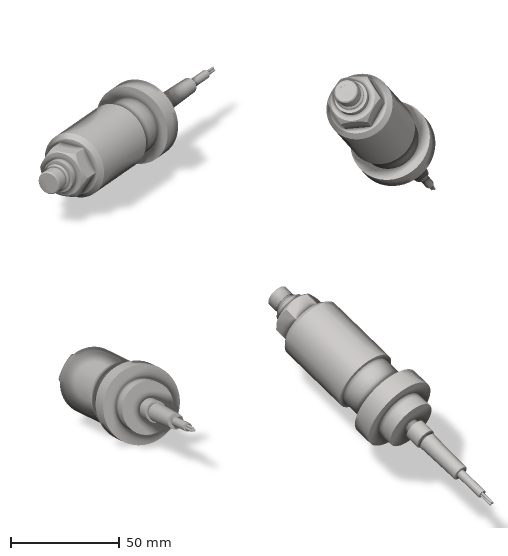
import cadquery as cq
import math

INCH = 25.4
TOTAL_LENGTH = 150.19

TIP_DIAMETER = 11.1
TIP_LENGTH = 5.9
TIP_CHAMFER = 0.5
DIAPHRAGM_DIAMETER = 6.2
DIAPHRAGM_RECESS = 0.1
GROOVE_DIAMETER = 10.5
GROOVE_LENGTH = 2.85
SEAL_SECTION_DIAMETER = 1.78
SEAL_OUTER_DIAMETER = 12.8
COLLAR_DIAMETER = 15.5
COLLAR_LENGTH = 3.2

HEX_SIDES = 6
HEX_ACROSS_FLATS = 22.0
HEX_LENGTH = 9.5
HEX_CHAMFER = 2.1

BODY_DIAMETER = 1.25 * INCH
BODY_LENGTH = 40.5
BODY_CHAMFER = 2.2
NECK_DIAMETER = 27.4
NECK_LENGTH = 14.3
FLANGE_DIAMETER = 1.5 * INCH
FLANGE_LENGTH = 0.375 * INCH
REAR_CAP_DIAMETER = 25.4
REAR_CAP_LENGTH = 8.0

STEM_DIAMETER = 7.0
STEM_LENGTH = 2.8
GLAND_DIAMETER = 10.3
GLAND_LENGTH = 7.3
BOOT_NECK_FRONT_DIAMETER = 5.0
BOOT_NECK_REAR_DIAMETER = 6.0
BOOT_NECK_LENGTH = 1.3
BOOT_FRONT_DIAMETER = 8.8
BOOT_REAR_DIAMETER = 7.7
BOOT_LENGTH = 23.2

JACKET_DIAMETER = 4.2
JACKET_LENGTH = 15.1
WIRE_DIAMETER = 1.17
WIRE_COUNT = 3
WIRE_CIRCLE_RADIUS = 0.68
FIRST_WIRE_ANGLE = -90

groove_end = TIP_LENGTH + GROOVE_LENGTH
collar_end = groove_end + COLLAR_LENGTH
hex_end = collar_end + HEX_LENGTH
body_end = hex_end + BODY_LENGTH
neck_end = body_end + NECK_LENGTH
flange_end = neck_end + FLANGE_LENGTH
rear_cap_end = flange_end + REAR_CAP_LENGTH
stem_end = rear_cap_end + STEM_LENGTH
gland_end = stem_end + GLAND_LENGTH
boot_neck_end = gland_end + BOOT_NECK_LENGTH
boot_end = boot_neck_end + BOOT_LENGTH
jacket_end = boot_end + JACKET_LENGTH


def plane_at(y):
    """Plane across the axis at the given Y, with its normal along +Y."""
    return cq.Workplane(cq.Plane(origin=(0, y, 0), xDir=(1, 0, 0), normal=(0, 1, 0)))


def cylinder(diameter, start, end):
    return plane_at(start).circle(diameter / 2).extrude(end - start)


def cone(start_diameter, end_diameter, start, end):
    profile = [(0, start), (start_diameter / 2, start), (end_diameter / 2, end), (0, end)]
    return cq.Workplane("XY").polyline(profile).close().revolve(360, (0, 0), (0, 1))


def make_tip():
    tip = cylinder(TIP_DIAMETER, 0, TIP_LENGTH).faces("<Y").chamfer(TIP_CHAMFER)
    return tip.cut(cylinder(DIAPHRAGM_DIAMETER, 0, DIAPHRAGM_RECESS))


def make_seal():
    """O-ring resting against the collar, made as a solid disc with a round rim, and the groove floor."""
    section_radius = SEAL_SECTION_DIAMETER / 2
    outer_radius = SEAL_OUTER_DIAMETER / 2
    center_radius = outer_radius - section_radius
    center_y = groove_end - section_radius
    seal = (
        cq.Workplane("XY")
        .moveTo(0, center_y - section_radius)
        .lineTo(center_radius, center_y - section_radius)
        .threePointArc((outer_radius, center_y), (center_radius, groove_end))
        .lineTo(0, groove_end)
        .close()
        .revolve(360, (0, 0), (0, 1))
    )
    return cylinder(GROOVE_DIAMETER, TIP_LENGTH, groove_end).union(seal)


def make_hex():
    across_corners = HEX_ACROSS_FLATS / math.cos(math.pi / HEX_SIDES)
    prism = plane_at(collar_end).polygon(HEX_SIDES, across_corners).extrude(HEX_LENGTH)
    envelope = cylinder(across_corners, collar_end, hex_end).faces("<Y").chamfer(HEX_CHAMFER)
    return prism.intersect(envelope)


def make_housing():
    body = cylinder(BODY_DIAMETER, hex_end, body_end).faces("<Y").chamfer(BODY_CHAMFER)
    neck = cylinder(NECK_DIAMETER, body_end, neck_end)
    flange = cylinder(FLANGE_DIAMETER, neck_end, flange_end)
    rear_cap = cylinder(REAR_CAP_DIAMETER, flange_end, rear_cap_end)
    return body.union(neck).union(flange).union(rear_cap)


def make_gland():
    stem = cylinder(STEM_DIAMETER, rear_cap_end, stem_end)
    gland = cylinder(GLAND_DIAMETER, stem_end, gland_end)
    boot_neck = cone(BOOT_NECK_FRONT_DIAMETER, BOOT_NECK_REAR_DIAMETER, gland_end, boot_neck_end)
    boot = cone(BOOT_FRONT_DIAMETER, BOOT_REAR_DIAMETER, boot_neck_end, boot_end)
    return stem.union(gland).union(boot_neck).union(boot)


def make_cable():
    """Jacket and a triangle of straight bare wires, one of them at the top."""
    jacket = cylinder(JACKET_DIAMETER, boot_end, jacket_end)
    wires = (
        plane_at(jacket_end)
        .polarArray(WIRE_CIRCLE_RADIUS, FIRST_WIRE_ANGLE, 360, WIRE_COUNT)
        .circle(WIRE_DIAMETER / 2)
        .extrude(TOTAL_LENGTH - jacket_end)
    )
    return jacket.union(wires)


result = make_tip()
for section in (
    make_seal(),
    cylinder(COLLAR_DIAMETER, groove_end, collar_end),
    make_hex(),
    make_housing(),
    make_gland(),
    make_cable(),
):
    result = result.union(section)